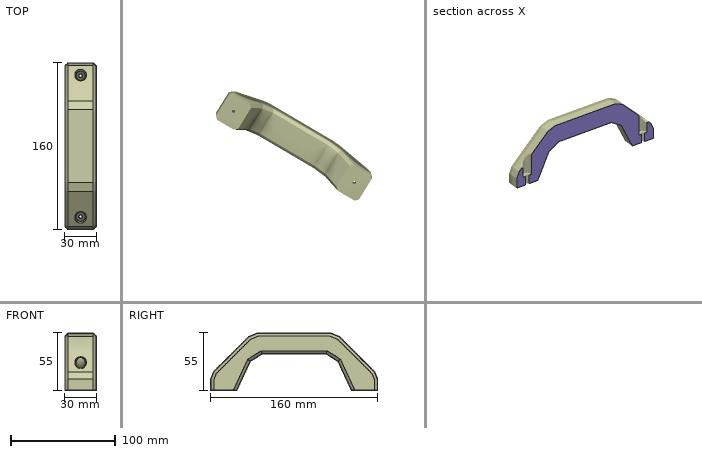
import cadquery as cq
import math

WIDTH = 30.0
LENGTH = 160.0
HEIGHT = 55.0

END_HEIGHT = 15.0
SHOULDER_CUT = 5.0
END_CUT = 4.0

GRIP_THICKNESS = 20.0
FOOT_LENGTH = 25.0
LEG_ANGLE = 65.0
INNER_CUT = 8.0

SIDE_CHAMFER = 3.0

SCREW_DIAMETER = 3.2
COUNTERBORE_DIAMETER = 9.0
COUNTERBORE_FLOOR = 10.0
RIM_SIZE = 1.0

HALF_LENGTH = LENGTH / 2
SCREW_Y = HALF_LENGTH - FOOT_LENGTH / 2


def toward(start, target, distance):
    """Point at a given distance from start along the line to target."""
    ratio = distance / math.dist(start, target)
    return tuple(a + ratio * (b - a) for a, b in zip(start, target))


def cut_corner(before, corner, after, setback):
    """The two points that replace a corner cut back equally along both sides."""
    return [toward(corner, before, setback), toward(corner, after, setback)]


def half_outline():
    """Outline of the +Y half as (y, z) points, from grip top to grip underside."""
    outer_rise = HEIGHT - END_HEIGHT
    top_middle = (0, HEIGHT)
    shoulder = (HALF_LENGTH - outer_rise, HEIGHT)
    end_corner = (HALF_LENGTH, END_HEIGHT)
    foot_outer = (HALF_LENGTH, 0)
    foot_inner = (HALF_LENGTH - FOOT_LENGTH, 0)
    underside_height = HEIGHT - GRIP_THICKNESS
    leg_run = underside_height / math.tan(math.radians(LEG_ANGLE))
    inner_corner = (foot_inner[0] - leg_run, underside_height)
    underside_middle = (0, underside_height)
    return [
        *cut_corner(top_middle, shoulder, end_corner, SHOULDER_CUT),
        *cut_corner(shoulder, end_corner, foot_outer, END_CUT),
        foot_outer,
        foot_inner,
        *cut_corner(foot_inner, inner_corner, underside_middle, INNER_CUT),
    ]


def handle_body():
    """Bow-shaped handle with both side outlines chamfered, except at the feet."""
    half = half_outline()
    mirrored = [(-y, z) for y, z in reversed(half)]
    body = cq.Workplane("YZ").polyline(half + mirrored).close().extrude(WIDTH / 2, both=True)
    side_edges = body.faces("<X or >X").edges().vals()
    edges_above_feet = [edge for edge in side_edges if edge.Center().z > 0]
    return body.newObject(edges_above_feet).chamfer(SIDE_CHAMFER)


def tilted_ellipse(center_y, center_z, radius, fall):
    """Ellipse that is a circle from above, dropping by fall per unit of +Y."""
    plane = cq.Plane(origin=(0, center_y, center_z), xDir=(1, 0, 0), normal=(0, fall, 1))
    return cq.Workplane(plane).ellipse(radius, radius * math.hypot(1, fall)).wires().val()


def rim_chamfer_cutter():
    """Ruled solid that bevels the edge between the counterbore and the slope.

    The bevel joins the two curves along which a ball of radius RIM_SIZE would touch
    the slope and the counterbore wall, so it is widest at the sharp outer side.
    """
    bore_radius = COUNTERBORE_DIAMETER / 2
    rim_radius = bore_radius + RIM_SIZE
    slope_fall = 1.0
    slope_z_at_screw = HALF_LENGTH + END_HEIGHT - SCREW_Y
    outward_shift = RIM_SIZE / math.sqrt(2)
    slope_curve = tilted_ellipse(
        SCREW_Y + outward_shift,
        slope_z_at_screw - outward_shift,
        rim_radius,
        slope_fall,
    )
    wall_curve = tilted_ellipse(
        SCREW_Y,
        slope_z_at_screw - RIM_SIZE * math.sqrt(2),
        bore_radius,
        slope_fall * rim_radius / bore_radius,
    )
    return cq.Workplane(cq.Solid.makeLoft([wall_curve, slope_curve], True))


def vertical_cylinder(diameter, bottom):
    """Cutter at the +Y screw position, open upward from the given height."""
    base = cq.Workplane("XY", origin=(0, SCREW_Y, bottom))
    return base.circle(diameter / 2).extrude(HEIGHT)


def add_screw_holes(body):
    """Cut a counterbored vertical hole with a chamfered rim in each foot."""
    cutters = (
        vertical_cylinder(SCREW_DIAMETER, 0),
        vertical_cylinder(COUNTERBORE_DIAMETER, COUNTERBORE_FLOOR),
        rim_chamfer_cutter(),
    )
    for cutter in cutters:
        body = body.cut(cutter).cut(cutter.mirror("XZ"))
    return body


result = add_screw_holes(handle_body())